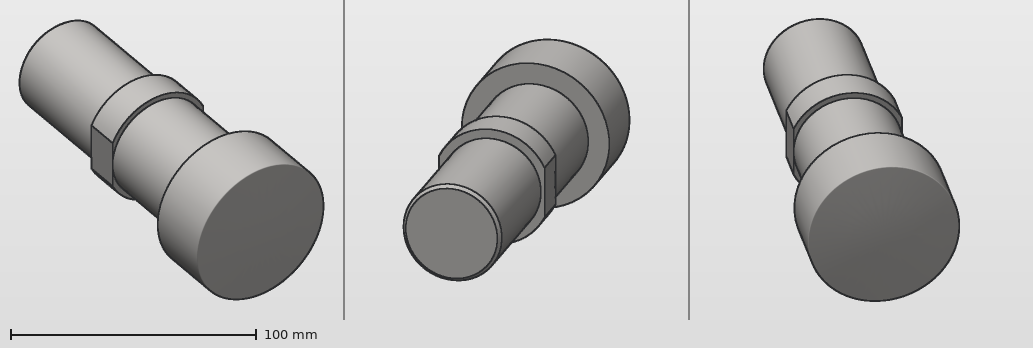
import cadquery as cq

length = 144.8
collar_start = 55.0
collar_width = 15.0
head_start = 115.0
crown_height = 1.7

spigot_diameter = 42.0
collar_diameter = 50.0
shank_diameter = 45.0
head_diameter = 63.0

collar_flat_width = shank_diameter
spigot_chamfer = 1.5
head_fillet = 0.5


def cylinder(start, end, diameter):
    """Round bar along X between two axial positions."""
    return cq.Workplane("YZ", origin=(start, 0, 0)).circle(diameter / 2).extrude(end - start)


def make_spigot():
    """Plain end with a chamfered rim."""
    return cylinder(0, collar_start, spigot_diameter).faces("<X").chamfer(spigot_chamfer)


def make_collar():
    """Round collar with two flats facing -Y and +Y."""
    collar = cylinder(collar_start, collar_start + collar_width, collar_diameter)
    flats = cq.Workplane("XY").box(2 * length, collar_flat_width, collar_diameter)
    return collar.intersect(flats)


def make_head():
    """Head whose end face is a shallow spherical crown with a small fillet around it."""
    radius = head_diameter / 2
    rim = length - crown_height
    crown_radius = (radius**2 + crown_height**2) / (2 * crown_height)
    profile = (
        cq.Workplane("XY")
        .moveTo(head_start, 0)
        .lineTo(head_start, radius)
        .lineTo(rim, radius)
        .radiusArc((length, 0), crown_radius)
        .close()
    )
    head = profile.revolve(360, (0, 0, 0), (1, 0, 0))
    rim_corner = cq.selectors.NearestToPointSelector((rim, 0, 0))
    return head.edges("%CIRCLE").edges(rim_corner).fillet(head_fillet)


shank = cylinder(collar_start + collar_width, head_start, shank_diameter)
result = make_spigot().union(make_collar()).union(shank).union(make_head())